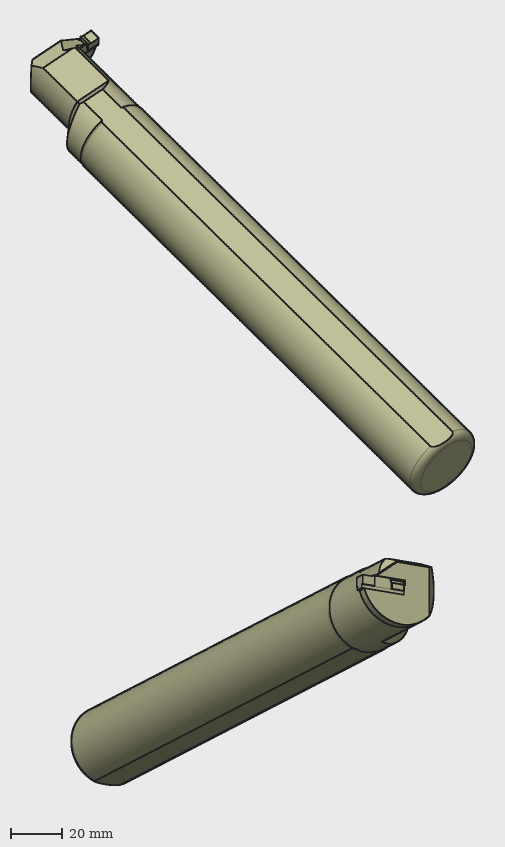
import cadquery as cq
import math


LENGTH = 250.0
SHANK_RADIUS = 16.0
NECK_RADIUS = 15.8
NECK_END = 44.5
SHANK_START = 45.2
FLAT_HEIGHT = 15.0
REAR_FILLET = 3.0

HEAD_RADIUS = 17.5
HEAD_OFFSET = 8.5
HEAD_END = 29.2
HEAD_TOP = 11.2
HEAD_RISE = FLAT_HEIGHT - HEAD_TOP
CONE_LENGTH = SHANK_RADIUS + HEAD_OFFSET - HEAD_RADIUS
NOSE_TOP = 7.5
NOSE_LENGTH = 8.2
CORNER_Y = -4.0

TIP_Y = 26.2
INSERT_LENGTH = 18.8
TAIL_Y = TIP_Y - INSERT_LENGTH
END_LENGTH = 5.5
WAIST_OUTER_Y = TIP_Y - END_LENGTH
WAIST_INNER_Y = TAIL_Y + END_LENGTH
INSERT_WIDTH = 4.8
SIDE_INSET = 0.5
RAKE_Z = 0.0
RAKE_LENGTH = 4.0
WAIST_TOP = 0.8
WAIST_LEAN = 0.5
TAIL_SHOULDER = -1.2
BASE_TOP = -3.8
SEAT_Z = -5.2
POCKET_RELIEF = 0.8

FACE_X = SIDE_INSET
BLADE_BACK = INSERT_WIDTH - SIDE_INSET

GULLET_END = 6.2
GULLET_Y = 10.8
GULLET_Z = NOSE_TOP
GULLET_SLOPE = 0.75
GULLET_WALL_ANGLE = 52.0

MARGIN = 50.0


def cylinder_x(radius, start, end, y=0.0):
    """Cylinder along X from start to end, with its axis at the given Y."""
    return cq.Workplane("YZ", origin=(start, y, 0)).circle(radius).extrude(end - start)


def prism_x(points, start, end):
    """Prism along X with a (Y, Z) outline."""
    return cq.Workplane("YZ", origin=(start, 0, 0)).polyline(points).close().extrude(end - start)


def prism_y(points):
    """Prism along Y, wider than the part, with an (X, Z) outline."""
    return cq.Workplane("XZ").polyline(points).close().extrude(MARGIN, both=True)


def make_round_bar():
    """Round shank and neck, joined by a short cone and rounded at the rear end."""
    bar = (
        cq.Workplane("XY")
        .moveTo(FACE_X, 0)
        .lineTo(FACE_X, NECK_RADIUS)
        .lineTo(NECK_END, NECK_RADIUS)
        .lineTo(SHANK_START, SHANK_RADIUS)
        .lineTo(LENGTH, SHANK_RADIUS)
        .lineTo(LENGTH, 0)
        .close()
        .revolve(360, (0, 0, 0), (1, 0, 0))
    )
    return bar.faces(">X").edges().fillet(REAR_FILLET)


def make_head_limit():
    """Offset round envelope of the head, opening at 45 degrees into the neck."""
    outline = (
        cq.Workplane("XY")
        .moveTo(0, HEAD_OFFSET)
        .lineTo(0, HEAD_OFFSET + HEAD_RADIUS)
        .lineTo(HEAD_END, HEAD_OFFSET + HEAD_RADIUS)
        .lineTo(HEAD_END + CONE_LENGTH, HEAD_OFFSET + HEAD_RADIUS + CONE_LENGTH)
        .lineTo(LENGTH, HEAD_OFFSET + HEAD_RADIUS + CONE_LENGTH)
        .lineTo(LENGTH, HEAD_OFFSET)
        .close()
    )
    return outline.revolve(360, (0, HEAD_OFFSET, 0), (1, HEAD_OFFSET, 0))


def make_top_cut():
    """Space above the nose slope, the head flat, its 45 degree rise and the long top flat."""
    return prism_y([
        (0, NOSE_TOP),
        (NOSE_LENGTH, HEAD_TOP),
        (HEAD_END, HEAD_TOP),
        (HEAD_END + HEAD_RISE, FLAT_HEIGHT),
        (LENGTH, FLAT_HEIGHT),
        (LENGTH, MARGIN),
        (0, MARGIN),
    ])


def make_bottom_cut():
    """Space below the bottom flat of the shank."""
    return prism_y([
        (NECK_END, -FLAT_HEIGHT),
        (LENGTH, -FLAT_HEIGHT),
        (LENGTH, -MARGIN),
        (NECK_END, -MARGIN),
    ])


def make_corner_cut():
    """45 degree chamfer on the -Y corner of the nose."""
    outline = [
        (FACE_X, CORNER_Y),
        (FACE_X + MARGIN, CORNER_Y - MARGIN),
        (FACE_X, CORNER_Y - MARGIN),
    ]
    return cq.Workplane("XY").polyline(outline).close().extrude(MARGIN, both=True)


def make_gullet_cut():
    """Chip gullet, cut along the fall line of its floor."""
    along_floor = cq.Plane(
        origin=(0, GULLET_Y, GULLET_Z),
        xDir=(1, 0, 0),
        normal=(0, -1, GULLET_SLOPE),
    )
    wall_run = MARGIN / math.tan(math.radians(GULLET_WALL_ANGLE))
    outline = [(0, 0), (GULLET_END, 0), (GULLET_END + wall_run, MARGIN), (0, MARGIN)]
    return cq.Workplane(along_floor).polyline(outline).close().extrude(MARGIN, both=True)


def make_pocket_cut():
    """Insert pocket, open at the front face and at the tip, with a relief beyond the tail."""
    outline = [
        (TIP_Y, SEAT_Z),
        (TAIL_Y, SEAT_Z),
        (TAIL_Y, TAIL_SHOULDER),
        (TAIL_Y - POCKET_RELIEF, TAIL_SHOULDER),
        (TAIL_Y - POCKET_RELIEF, WAIST_TOP),
        (TIP_Y, WAIST_TOP),
    ]
    return prism_x(outline, 0, INSERT_WIDTH)


def make_holder():
    """Holder: round bar limited by the head envelope, with the blade added and all cuts made."""
    blade = cylinder_x(HEAD_RADIUS, FACE_X, BLADE_BACK, HEAD_OFFSET)
    body = make_round_bar().intersect(make_head_limit()).union(blade)
    cuts = (make_top_cut(), make_bottom_cut(), make_corner_cut(), make_gullet_cut(), make_pocket_cut())
    for cut in cuts:
        body = body.cut(cut)
    return body


def insert_block(start_y, end_y, bottom, top, side_inset):
    """Rectangular part of the insert, set in from its full width by the same amount on both sides."""
    outline = [(start_y, bottom), (end_y, bottom), (end_y, top), (start_y, top)]
    return prism_x(outline, side_inset, INSERT_WIDTH - side_inset)


def make_waist():
    """Middle of the insert, with both sides leaning inward towards the top."""
    outline = [
        (SIDE_INSET, BASE_TOP),
        (INSERT_WIDTH - SIDE_INSET, BASE_TOP),
        (INSERT_WIDTH - SIDE_INSET - WAIST_LEAN, WAIST_TOP),
        (SIDE_INSET + WAIST_LEAN, WAIST_TOP),
    ]
    waist = cq.Workplane("XZ", origin=(0, WAIST_OUTER_Y, 0)).polyline(outline).close()
    return waist.extrude(WAIST_OUTER_Y - WAIST_INNER_Y)


def make_tip():
    """Wide cutting tip, with a flat rake face and a ramp up to the waist."""
    outline = [
        (WAIST_OUTER_Y, BASE_TOP),
        (TIP_Y, BASE_TOP),
        (TIP_Y, RAKE_Z),
        (TIP_Y - RAKE_LENGTH, RAKE_Z),
        (WAIST_OUTER_Y, WAIST_TOP),
    ]
    return prism_x(outline, 0, INSERT_WIDTH)


def make_insert():
    """Insert: base strip, cutting tip, waist, and a tail with a shoulder along each side."""
    base = insert_block(TAIL_Y, TIP_Y, SEAT_Z, BASE_TOP, SIDE_INSET)
    tail = insert_block(TAIL_Y, WAIST_INNER_Y, BASE_TOP, TAIL_SHOULDER, 0)
    tail_crown = insert_block(TAIL_Y, WAIST_INNER_Y, TAIL_SHOULDER, RAKE_Z, SIDE_INSET)
    return base.union(make_tip()).union(make_waist()).union(tail).union(tail_crown)


holder = make_holder()
insert = make_insert()

result = cq.Compound.makeCompound([holder.solids().val(), insert.solids().val()])